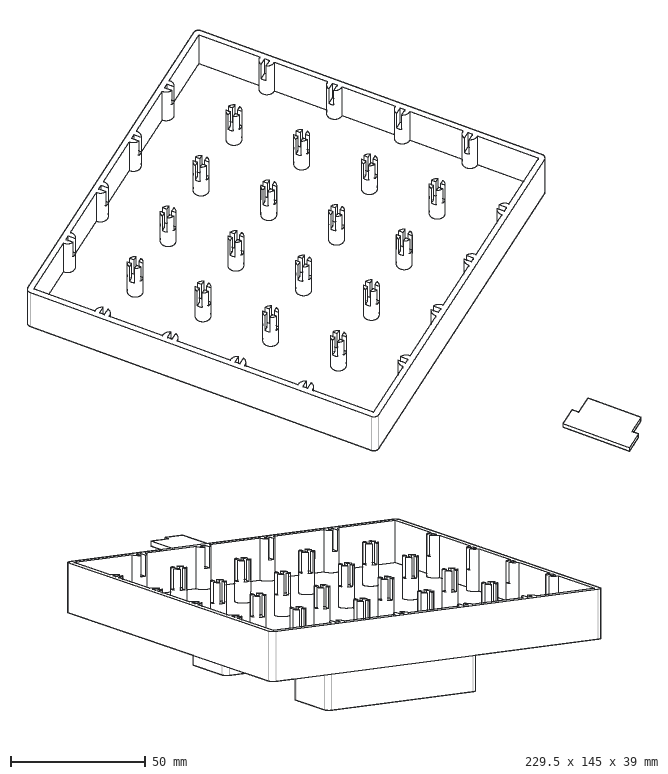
import cadquery as cq

TRAY_SIDE = 145.0
TRAY_HEIGHT = 19.0
WALL = 2.3
FLOOR = 3.0
CORNER_RADIUS = 2.0

POST_DIAMETER = 6.0
POST_PITCH = 28.0
POSTS_PER_SIDE = 4
WALL_POST_OFFSET = 2.5
SLOT_WIDTH = 2.0
SLOT_DEPTH = 8.0

FOOT_LENGTH_X = 24.0
FOOT_LENGTH_Y = 66.0
FOOT_HEIGHT = 20.0
FOOT_SPACING = 72.0

TAB_WIDTH = 27.5
TAB_NECK_WIDTH = 22.0
TAB_LENGTH = 15.5
TAB_SHOULDER = TAB_LENGTH / 2
TAB_THICKNESS = 2.0
OVERALL_LENGTH = 229.5
TAB_FRONT_Y = 41.5

TRAY_MIDDLE = TRAY_SIDE / 2


def cavity_block():
    """Space inside the walls, from the floor to the rim."""
    cavity_side = TRAY_SIDE - 2 * WALL
    return (
        cq.Workplane("XY", origin=(TRAY_MIDDLE, TRAY_MIDDLE, FLOOR))
        .rect(cavity_side, cavity_side)
        .extrude(TRAY_HEIGHT - FLOOR)
    )


def tray_shell():
    """Square box with rounded outer corners and a sharp-cornered cavity."""
    box = (
        cq.Workplane("XY")
        .center(TRAY_MIDDLE, TRAY_MIDDLE)
        .rect(TRAY_SIDE, TRAY_SIDE)
        .extrude(TRAY_HEIGHT)
        .edges("|Z")
        .fillet(CORNER_RADIUS)
    )
    return box.cut(cavity_block())


def slotted_posts(centers, slot_along_x, slot_along_y):
    """Round posts from the floor to the rim, split at the top by slots along X, Y or both."""
    posts = (
        cq.Workplane("XY", origin=(0, 0, FLOOR))
        .pushPoints(centers)
        .circle(POST_DIAMETER / 2)
        .extrude(TRAY_HEIGHT - FLOOR)
    )
    slots = cq.Workplane("XY", origin=(0, 0, TRAY_HEIGHT - SLOT_DEPTH)).pushPoints(centers)
    if slot_along_x:
        posts = posts.cut(slots.rect(POST_DIAMETER, SLOT_WIDTH).extrude(SLOT_DEPTH))
    if slot_along_y:
        posts = posts.cut(slots.rect(SLOT_WIDTH, POST_DIAMETER).extrude(SLOT_DEPTH))
    return posts


def all_posts():
    """Free posts with crossed slots, and wall posts with one slot square to their wall."""
    grid_span = (POSTS_PER_SIDE - 1) * POST_PITCH
    inner = [TRAY_MIDDLE - grid_span / 2 + index * POST_PITCH for index in range(POSTS_PER_SIDE)]
    outer = [WALL_POST_OFFSET, TRAY_SIDE - WALL_POST_OFFSET]
    free_posts = slotted_posts([(x, y) for x in inner for y in inner], True, True)
    side_posts = slotted_posts([(x, y) for x in outer for y in inner], True, False)
    end_posts = slotted_posts([(x, y) for x in inner for y in outer], False, True)
    posts = free_posts.add(side_posts).add(end_posts).combine()
    return posts.intersect(cavity_block())


def feet():
    """Two blocks with rounded vertical edges hanging below the tray floor."""
    half_spacing = FOOT_SPACING / 2
    return (
        cq.Workplane("XY", origin=(TRAY_MIDDLE, TRAY_MIDDLE, 0))
        .pushPoints([(-half_spacing, 0), (half_spacing, 0)])
        .rect(FOOT_LENGTH_X, FOOT_LENGTH_Y)
        .extrude(-FOOT_HEIGHT)
        .edges("|Z")
        .fillet(CORNER_RADIUS)
    )


def make_tray():
    return tray_shell().union(all_posts()).union(feet())


def make_tab():
    """Flat plate with a wide base and a narrower neck pointing toward +Y."""
    half_width = TAB_WIDTH / 2
    half_neck = TAB_NECK_WIDTH / 2
    outline = [
        (-half_width, 0),
        (half_width, 0),
        (half_width, TAB_SHOULDER),
        (half_neck, TAB_SHOULDER),
        (half_neck, TAB_LENGTH),
        (-half_neck, TAB_LENGTH),
        (-half_neck, TAB_SHOULDER),
        (-half_width, TAB_SHOULDER),
    ]
    return (
        cq.Workplane("XY", origin=(OVERALL_LENGTH - half_width, TAB_FRONT_Y, 0))
        .polyline(outline)
        .close()
        .extrude(TAB_THICKNESS)
    )


tray = make_tray()
tab = make_tab()
result = cq.Compound.makeCompound([tray.val(), tab.val()])